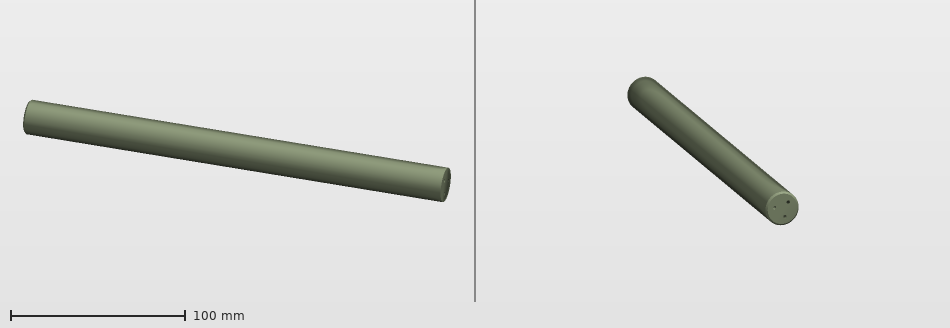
import cadquery as cq
import math

length = 250
diameter = 20
chamfer = 1.0

duct_count = 3
duct_diameter = 2.0
pitch_radius = 5
first_duct_angle = 47
helix_angle = 30
helix_lead = math.pi * diameter / math.tan(math.radians(helix_angle))
twist = 144 * length / helix_lead


def make_blank():
    blank = cq.Workplane("YZ").circle(diameter / 2).extrude(length / 2, both=True)
    return blank.faces("<X").chamfer(chamfer)


def make_duct(y, z):
    """Right-handed helical duct that starts at (y, z) on the -X end face."""
    end_face = cq.Workplane("YZ", origin=(-length / 2, 0, 0))
    profile = end_face.moveTo(y, z).circle(duct_diameter / 2)
    return profile.twistExtrude(length, twist)


result = make_blank()
for index in range(duct_count):
    angle = math.radians(first_duct_angle + index * 360 / duct_count)
    duct_y = -pitch_radius * math.cos(angle)
    duct_z = pitch_radius * math.sin(angle)
    result = result.cut(make_duct(duct_y, duct_z))